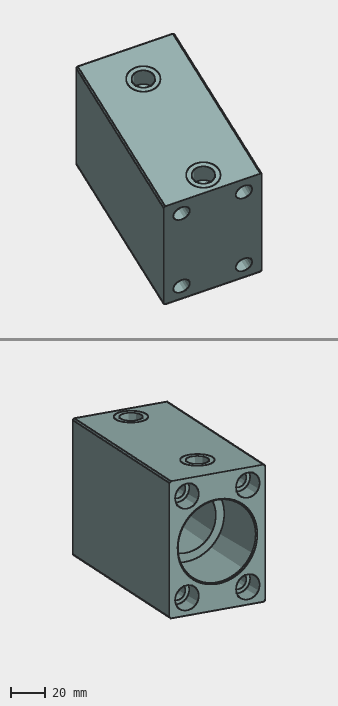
import cadquery as cq

LENGTH = 121.0
WIDTH = 63.0
HEIGHT = 85.0
EDGE_CHAMFER = 1.0

GLAND_DIAMETER = 51.0
GLAND_DEPTH = 40.0
GLAND_CHAMFER = 0.75
PISTON_DIAMETER = 40.0
END_WALL = 15.0
BORE_DEPTH = LENGTH - END_WALL

MOUNT_SPACING_Y = 40.0
MOUNT_SPACING_Z = 63.0
MOUNT_DIAMETER = 10.5
COUNTERBORE_DIAMETER = 15.5
COUNTERBORE_DEPTH = 12.0

FRONT_PORT_X = 25.0
REAR_PORT_X = 108.0
SPOTFACE_DIAMETER = 20.0
SPOTFACE_DEPTH = 0.1
PORT_DIAMETER = 13.6
PORT_DEPTH = 12.0
PASSAGE_DIAMETER = 5.6
PASSAGE_OVERLAP = 0.05
PASSAGE_DEPTH = (HEIGHT - PISTON_DIAMETER) / 2 + PASSAGE_OVERLAP


def make_block():
    block = cq.Workplane("XY").box(LENGTH, WIDTH, HEIGHT, centered=(False, True, True))
    return block.edges("|X").chamfer(EDGE_CHAMFER)


def end_face_drill(diameter, depth, y=0.0, z=0.0):
    """Cylinder running from the open end face in the +X direction."""
    return cq.Workplane("YZ").center(y, z).circle(diameter / 2).extrude(depth)


def top_face_drill(diameter, depth, x):
    """Cylinder running down from the top face."""
    return cq.Workplane("XY", origin=(x, 0, HEIGHT / 2)).circle(diameter / 2).extrude(-depth)


def make_bore():
    gland_radius = GLAND_DIAMETER / 2
    piston_radius = PISTON_DIAMETER / 2
    half_profile = (
        cq.Workplane("XZ")
        .moveTo(0, 0)
        .lineTo(0, -gland_radius - GLAND_CHAMFER)
        .lineTo(GLAND_CHAMFER, -gland_radius)
        .lineTo(GLAND_DEPTH, -gland_radius)
        .lineTo(GLAND_DEPTH, -piston_radius)
        .lineTo(BORE_DEPTH, -piston_radius)
        .lineTo(BORE_DEPTH, 0)
        .close()
    )
    return half_profile.revolve(360, (0, 0, 0), (1, 0, 0))


def make_mounting_hole(y, z):
    through_hole = end_face_drill(MOUNT_DIAMETER, LENGTH, y, z)
    counterbore = end_face_drill(COUNTERBORE_DIAMETER, COUNTERBORE_DEPTH, y, z)
    return through_hole.union(counterbore)


def make_port(x):
    spotface = top_face_drill(SPOTFACE_DIAMETER, SPOTFACE_DEPTH, x)
    port = top_face_drill(PORT_DIAMETER, PORT_DEPTH, x)
    passage = top_face_drill(PASSAGE_DIAMETER, PASSAGE_DEPTH, x)
    return passage.union(port).union(spotface)


result = make_block().cut(make_bore())
for side_y in (-1, 1):
    for side_z in (-1, 1):
        hole = make_mounting_hole(side_y * MOUNT_SPACING_Y / 2, side_z * MOUNT_SPACING_Z / 2)
        result = result.cut(hole)
for port_x in (FRONT_PORT_X, REAR_PORT_X):
    result = result.cut(make_port(port_x))